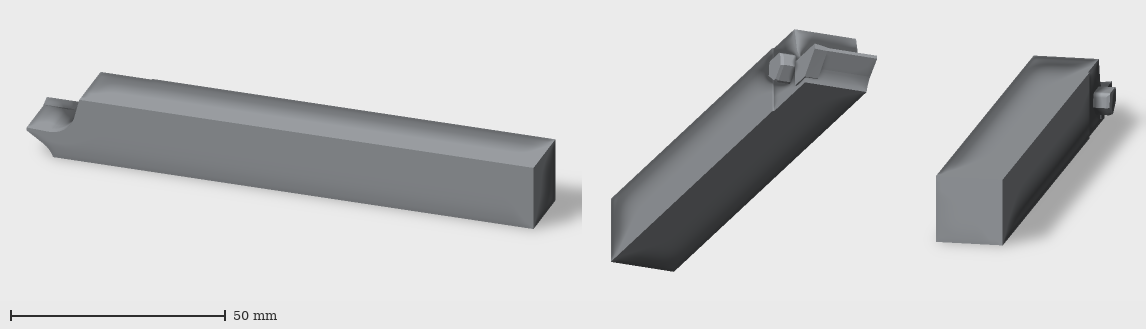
import cadquery as cq

shank_length = 125.0
shank_size = 15.88
side_recess_depth = 0.38
side_recess_length = 25.9
recessed_width = shank_size - side_recess_depth

holder_tip_x = 0.4
holder_tip_top = 6.65
holder_tip_bottom = 5.9
ledge_end = (6.15, 6.4)
gullet_middle = (9.75, 7.65)
gullet_end = (12.0, 10.7)
gullet_top_x = 13.35
nose_slope_end = (4.7, 3.0)
nose_curve_middle = (6.0, 1.7)
heel_x = 6.9

insert_width = 3.3
insert_inner_y = shank_size - insert_width
insert_rear_x = 12.05
insert_top_outer = 7.1
insert_top_inner = 6.7
insert_tip_bottom = 5.8
insert_tip_setback = 0.3
insert_heel = (6.1, 1.1)

head_left = insert_rear_x
head_right = 20.0
head_projection = 3.5
head_outer_y = shank_size + head_projection
head_top = 9.3
head_shoulder = 5.9
head_side_lean = 0.4
head_bottom = 3.3
head_bottom_flat = 1.0
head_corner_radius = 1.1
head_end_taper_length = 0.75
head_end_inset = 0.3


def make_holder():
    """Shank with the curved gullet above the nose and relief below it."""
    body = (
        cq.Workplane("XZ")
        .moveTo(heel_x, 0)
        .lineTo(shank_length, 0)
        .lineTo(shank_length, shank_size)
        .lineTo(gullet_top_x, shank_size)
        .lineTo(*gullet_end)
        .threePointArc(gullet_middle, ledge_end)
        .lineTo(holder_tip_x, holder_tip_top)
        .lineTo(holder_tip_x, holder_tip_bottom)
        .lineTo(*nose_slope_end)
        .threePointArc(nose_curve_middle, (heel_x, 0))
        .close()
        .extrude(-shank_size)
    )
    side_recess = cq.Workplane("XY").box(
        side_recess_length, side_recess_depth, shank_size, centered=False
    ).translate((0, recessed_width, 0))
    return body.cut(side_recess)


def insert_outline(tip_x, top_z):
    """Corner points of the insert in an XZ section."""
    heel_x_position, heel_z = insert_heel
    return [
        (tip_x, top_z),
        (insert_rear_x, top_z),
        (insert_rear_x, heel_z),
        (heel_x_position, heel_z),
        (tip_x, insert_tip_bottom),
    ]


def make_insert():
    """Insert whose top rises, and whose tip advances, towards the outer side."""
    return (
        cq.Workplane("XZ", origin=(0, insert_inner_y, 0))
        .polyline(insert_outline(insert_tip_setback, insert_top_inner))
        .close()
        .workplane(offset=-insert_width)
        .polyline(insert_outline(0, insert_top_outer))
        .close()
        .loft(ruled=True)
    )


def head_outline(inset):
    """Corner points of the clamp head, with its sides and underside moved in by the inset."""
    left = head_left + inset
    right = head_right - inset
    bottom = head_bottom + inset
    middle_x = (head_left + head_right) / 2
    return [
        (left + head_side_lean, head_top),
        (right - head_side_lean, head_top),
        (right, head_shoulder),
        (middle_x + head_bottom_flat / 2, bottom),
        (middle_x - head_bottom_flat / 2, bottom),
        (left, head_shoulder),
    ]


def head_section(start_y):
    """Full-size clamp head outline placed at a position along Y."""
    return cq.Workplane("XZ", origin=(0, start_y, 0)).polyline(head_outline(0)).close()


def make_clamp_head():
    """Clamp head with rounded upper corners, a V underside and a tapered outer end."""
    taper_start_y = head_outer_y - head_end_taper_length
    rounded_head = (
        head_section(recessed_width)
        .extrude(recessed_width - head_outer_y)
        .edges("|Y and >Z")
        .fillet(head_corner_radius)
    )
    tapered_end = (
        head_section(taper_start_y)
        .workplane(offset=-head_end_taper_length)
        .polyline(head_outline(head_end_inset))
        .close()
        .loft(ruled=True)
    )
    straight_part = head_section(recessed_width).extrude(recessed_width - taper_start_y)
    return rounded_head.intersect(straight_part.union(tapered_end))


result = make_holder().union(make_insert()).union(make_clamp_head())